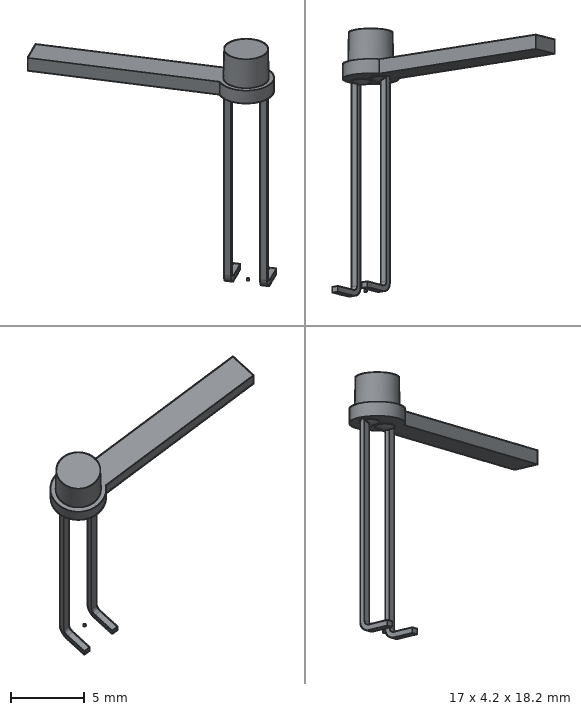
import cadquery as cq

base_diameter = 3.8
base_thickness = 1.0
cap_height = 2.2
cap_base_diameter = 3.1
cap_top_diameter = 3.0
arm_reach = 15.1
arm_width = 2.1

bead_neck_diameter = 1.24
bead_rim_diameter = 1.4
bead_rim_depth = 0.08
bead_depth = 0.3
bead_offset = 0.8

lead_pitch = 2.54
lead_width = 0.5
lead_thickness = 0.4
lead_drop = 15.0
lead_foot_reach = 2.3
bend_outer_radius = 0.75
bend_inner_radius = bend_outer_radius - lead_thickness

pellet_diameter = 0.2
pellet_x = -0.03
pellet_y = 0.6
pellet_height = 0.2

sides = (-1, 1)


def make_bead(side):
    """Shallow dome hanging from the base underside by a short, narrower neck cone."""
    rim_radius = bead_rim_diameter / 2
    dome_height = bead_depth - bead_rim_depth
    dome_radius = (rim_radius**2 + dome_height**2) / (2 * dome_height)
    return (
        cq.Workplane("XZ")
        .lineTo(bead_neck_diameter / 2, 0)
        .lineTo(rim_radius, -bead_rim_depth)
        .radiusArc((0, -bead_depth), dome_radius)
        .close()
        .revolve(360, (0, 0), (0, 1))
        .translate((side * bead_offset, 0, 0))
    )


def make_lead(side):
    """Strip hanging from the base underside, bent into a foot at its bottom."""
    front_y = -lead_thickness / 2
    back_y = lead_thickness / 2
    bend_centre_z = bend_outer_radius - lead_drop
    return (
        cq.Workplane("YZ")
        .moveTo(front_y, 0)
        .lineTo(front_y, bend_centre_z)
        .radiusArc((front_y + bend_outer_radius, -lead_drop), -bend_outer_radius)
        .lineTo(lead_foot_reach, -lead_drop)
        .lineTo(lead_foot_reach, -lead_drop + lead_thickness)
        .lineTo(front_y + bend_outer_radius, -lead_drop + lead_thickness)
        .radiusArc((back_y, bend_centre_z), bend_inner_radius)
        .lineTo(back_y, 0)
        .close()
        .extrude(lead_width / 2, both=True)
        .translate((side * lead_pitch / 2, 0, 0))
    )


def make_housing(leads):
    """Cap, base, arm and beads in one piece, with the beads notched around the leads."""
    base = cq.Workplane("XY").circle(base_diameter / 2).extrude(base_thickness)
    arm = (
        cq.Workplane("XY")
        .center(-arm_reach / 2, 0)
        .rect(arm_reach, arm_width)
        .extrude(base_thickness)
    )
    cap = (
        cq.Workplane("XY", origin=(0, 0, base_thickness))
        .circle(cap_base_diameter / 2)
        .workplane(offset=cap_height)
        .circle(cap_top_diameter / 2)
        .loft()
    )
    body = base.union(arm).union(cap)
    for side in sides:
        body = body.union(make_bead(side))
    for lead in leads:
        body = body.cut(lead)
    return body


def make_pellet():
    """Small loose ball."""
    return (
        cq.Workplane("XY")
        .sphere(pellet_diameter / 2)
        .translate((pellet_x, pellet_y, pellet_height - lead_drop))
    )


leads = [make_lead(side) for side in sides]
housing = make_housing(leads)
pellet = make_pellet()

result = cq.Compound.makeCompound([housing.val(), *[lead.val() for lead in leads], pellet.val()])